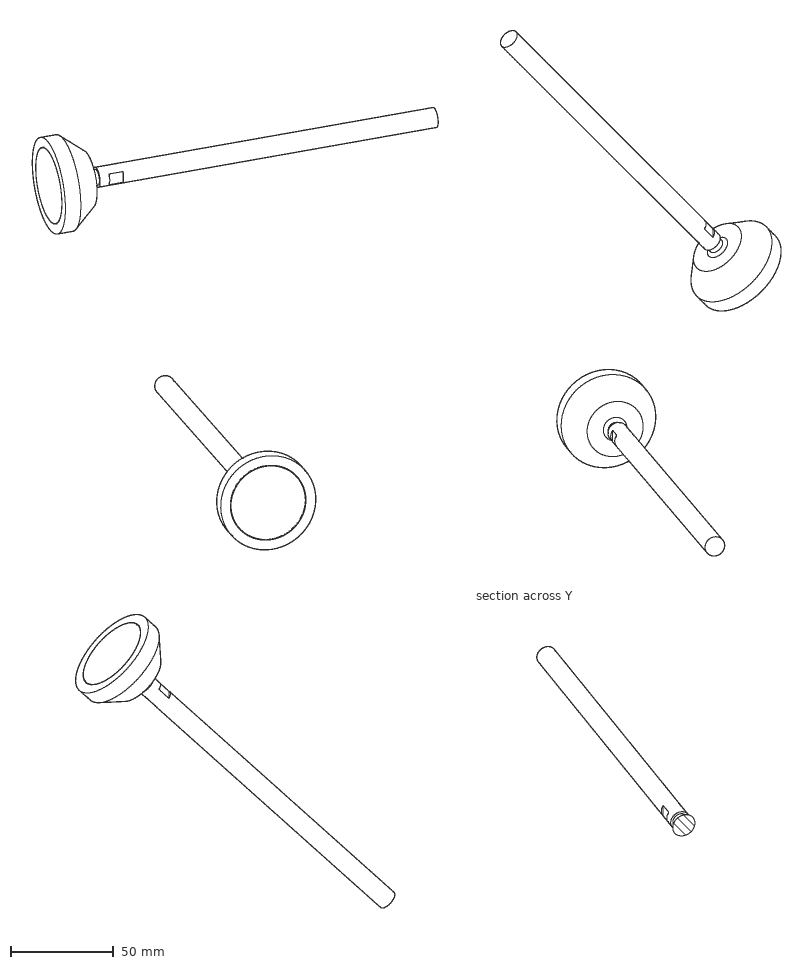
import cadquery as cq

total_length = 200.0
foot_y = -total_length / 2

foot_diameter = 48.0
rim_height = 8.0
foot_height = 20.0
foot_top_diameter = 28.5
groove_outer_diameter = 38.0
groove_inner_diameter = 37.5
groove_depth = 1.0

stem_diameter = 10.0
neck_diameter = 7.8
flare_diameter = 12.0
flare_height = 1.2
shaft_start = 24.8
flat_start = 29.8
flat_length = 7.2
across_flats = 8.0


def revolve_about_y(points):
    """Revolve a closed (radius, height above the foot face) outline about Y."""
    return (
        cq.Workplane("YZ", origin=(0, foot_y, 0))
        .polyline([(height, radius) for radius, height in points])
        .close()
        .revolve(360, (0, 0), (1, 0))
    )


def make_foot():
    """Conical foot with a narrow ring groove in its flat face."""
    foot_radius = foot_diameter / 2
    body = revolve_about_y([
        (0, 0),
        (foot_radius, 0),
        (foot_radius, rim_height),
        (foot_top_diameter / 2, foot_height),
        (0, foot_height),
    ])
    groove_outer = groove_outer_diameter / 2
    groove_inner = groove_inner_diameter / 2
    groove = revolve_about_y([
        (groove_inner, 0),
        (groove_outer, 0),
        (groove_outer, groove_depth),
        (groove_inner, groove_depth),
    ])
    return body.cut(groove)


def make_stem():
    """Round shaft with a flared neck and two opposite wrench flats."""
    stem_radius = stem_diameter / 2
    neck_radius = neck_diameter / 2
    body = revolve_about_y([
        (0, foot_height),
        (flare_diameter / 2, foot_height),
        (neck_radius, foot_height + flare_height),
        (neck_radius, shaft_start),
        (stem_radius, shaft_start),
        (stem_radius, total_length),
        (0, total_length),
    ])
    flat_center_y = foot_y + flat_start + flat_length / 2
    for side in (-1, 1):
        cutter_x = side * (across_flats + stem_diameter) / 2
        cutter = cq.Workplane("XY").box(stem_diameter, flat_length, stem_diameter)
        body = body.cut(cutter.translate((cutter_x, flat_center_y, 0)))
    return body


foot = make_foot()
stem = make_stem()
result = cq.Compound.makeCompound([foot.val(), stem.val()])